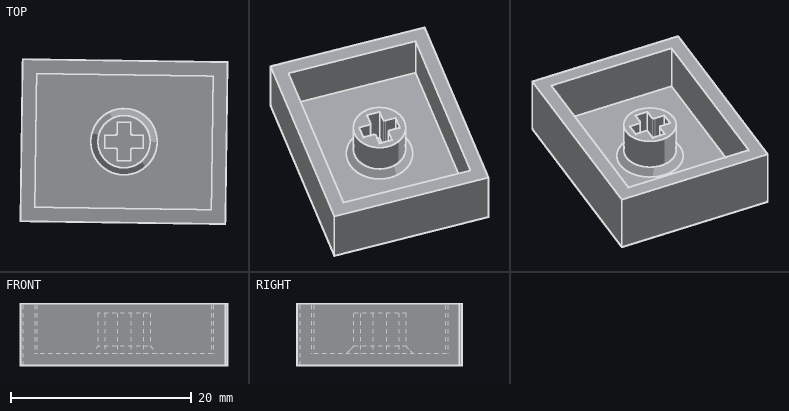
import cadquery as cq

body_length = 22.8
body_width = 18.03
body_height = 6.9
body_turn = -0.8
wall = 1.6
floor = 1.4

stem_diameter = 5.8
stem_top = 5.9
foot_diameter = 7.38
foot_height = (foot_diameter - stem_diameter) / 2

cross_span = 4.29
cross_slot = 1.48
cross_corner_radius = 0.2
cross_depth = stem_top - floor


def make_tray():
    body = cq.Workplane("XY").rect(body_length, body_width).extrude(body_height)
    pocket = (
        cq.Workplane("XY", origin=(0, 0, floor))
        .rect(body_length - 2 * wall, body_width - 2 * wall)
        .extrude(body_height - floor)
    )
    return body.cut(pocket).rotate((0, 0, 0), (0, 0, 1), body_turn)


def make_stem():
    return (
        cq.Workplane("XZ")
        .lineTo(foot_diameter / 2, 0)
        .lineTo(foot_diameter / 2, floor)
        .lineTo(stem_diameter / 2, floor + foot_height)
        .lineTo(stem_diameter / 2, stem_top)
        .lineTo(0, stem_top)
        .close()
        .revolve(360, (0, 0, 0), (0, 1, 0))
    )


def make_cross():
    top = cq.Workplane("XY", origin=(0, 0, stem_top))
    along_x = top.rect(cross_span, cross_slot).extrude(-cross_depth)
    along_y = top.rect(cross_slot, cross_span).extrude(-cross_depth)
    inward_corners = cq.selectors.BoxSelector(
        (-cross_slot, -cross_slot, 0), (cross_slot, cross_slot, body_height)
    )
    cross = along_x.union(along_y)
    return cross.edges("|Z").edges(inward_corners).fillet(cross_corner_radius)


result = make_tray().union(make_stem()).cut(make_cross())